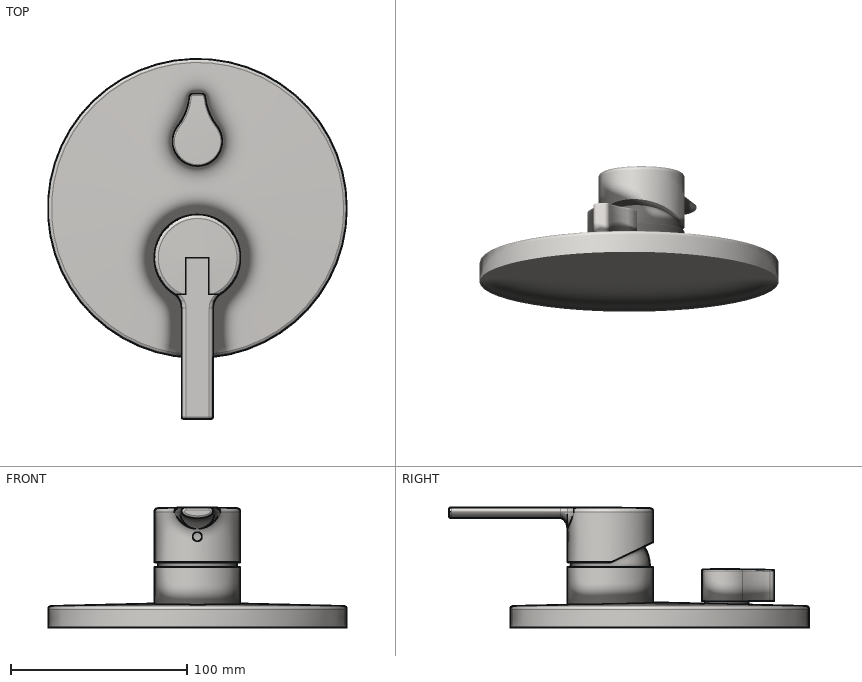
import cadquery as cq
import math

ARC_MID = math.sqrt(0.5)

PLATE_RADIUS = 85.0
PLATE_EDGE_HEIGHT = 12.4
PLATE_EDGE_FILLET = 2.0
PLATE_APEX_HEIGHT = 14.4

CROWN_RADIUS = 650.0

BODY_Y = -28.0
BODY_RADIUS = 24.5
BASE_TOP = 34.7
BODY_CHAMFER = 0.5
BALL_RADIUS = 22.7
BALL_CENTRE_Z = 34.2

CAP_BOTTOM = 36.9
CAP_BACK_BOTTOM = 48.6
TOP_Z = 68.36
CAP_TOP_FILLET = 2.2

MARK_Z = 51.7
MARK_DIAMETER = 5.2
MARK_DEPTH = 0.4

LEVER_TIP_Y = -119.775
LEVER_HALF_WIDTH = 9.0
LEVER_THICKNESS = 6.2
SHOULDER = 2.4
TIP_FILLET = 1.5

FLARE_RADIUS = 9.4
FLARE_END_FRACTION = 0.98
ROOT_RUN = 4.0
ROOT_ANGLES = (0, 25, 45, 65, 90)

KNOB_Y = 38.1
KNOB_RADIUS = 14.1
KNOB_BOTTOM = 15.1
KNOB_TOP = 33.4
KNOB_EDGE_FILLET = 0.9
STEM_RADIUS = 12.5
STEM_BOTTOM = PLATE_EDGE_HEIGHT
KNOB_WAIST = (6.2, 17.6)
KNOB_NOSE = (4.6, 24.5)
KNOB_NOSE_HALF_FLAT = 2.5
KNOB_LENGTH = 27.1
KNOB_FLANK_Y = 8.8


def crown_ball(top_z):
    """Large ball on the Z axis whose top gives a shallow dome reaching top_z."""
    return cq.Workplane("XY", origin=(0, 0, top_z - CROWN_RADIUS)).sphere(CROWN_RADIUS)


def make_plate():
    """Disc with a rounded rim and a shallow conical top."""
    corner = PLATE_EDGE_FILLET * (1 - ARC_MID)
    return (
        cq.Workplane("XZ")
        .lineTo(PLATE_RADIUS, 0)
        .lineTo(PLATE_RADIUS, PLATE_EDGE_HEIGHT - PLATE_EDGE_FILLET)
        .threePointArc(
            (PLATE_RADIUS - corner, PLATE_EDGE_HEIGHT - corner),
            (PLATE_RADIUS - PLATE_EDGE_FILLET, PLATE_EDGE_HEIGHT),
        )
        .lineTo(0, PLATE_APEX_HEIGHT)
        .close()
        .revolve(360, (0, 0, 0), (0, 1, 0))
    )


def make_base():
    """Base cylinder and the ball that rises from it into the cap."""
    start = PLATE_EDGE_HEIGHT
    base = (
        cq.Workplane("XY", origin=(0, 0, start))
        .circle(BODY_RADIUS)
        .extrude(BASE_TOP - start)
        .faces(">Z")
        .edges()
        .chamfer(BODY_CHAMFER)
    )
    ball = cq.Workplane("XY", origin=(0, 0, BALL_CENTRE_Z)).sphere(BALL_RADIUS)
    above_plate = cq.Workplane("XY", origin=(0, 0, start)).circle(BODY_RADIUS).extrude(TOP_Z - start)
    return base.union(ball.intersect(above_plate))


def make_cap():
    """Cap with a crowned top, a slanted rear underside and a small front mark."""
    cylinder = (
        cq.Workplane("XY", origin=(0, 0, CAP_BOTTOM))
        .circle(BODY_RADIUS)
        .extrude(TOP_Z - CAP_BOTTOM)
    )
    cap = cylinder.intersect(crown_ball(TOP_Z)).faces(">Z").edges().fillet(CAP_TOP_FILLET)
    slant = (
        cq.Workplane("YZ")
        .polyline([(0, CAP_BOTTOM), (BODY_RADIUS, CAP_BOTTOM), (BODY_RADIUS, CAP_BACK_BOTTOM)])
        .close()
        .extrude(BODY_RADIUS, both=True)
    )
    cap = cap.cut(slant).faces("<Z").edges("%CIRCLE").chamfer(BODY_CHAMFER)
    mark = (
        cq.Workplane("XZ", origin=(0, MARK_DEPTH - BODY_RADIUS, MARK_Z))
        .circle(MARK_DIAMETER / 2)
        .extrude(BODY_RADIUS)
    )
    return cap.cut(mark)


def lever_section(y, half_width, depth):
    """Lever cross-section wire at the given Y."""
    side_z = TOP_Z - SHOULDER
    flat = half_width - SHOULDER
    corner = SHOULDER * (1 - ARC_MID)
    mid_x = half_width - corner
    mid_z = TOP_Z - corner
    return (
        cq.Workplane("XZ", origin=(0, y, 0))
        .moveTo(-half_width, side_z)
        .ellipseArc(half_width, depth - SHOULDER, 180, 360, sense=1)
        .threePointArc((mid_x, mid_z), (flat, TOP_Z))
        .lineTo(-flat, TOP_Z)
        .threePointArc((-mid_x, mid_z), (-half_width, side_z))
        .wire()
    )


def concave_rise(run, length, height):
    """Height of a quarter-ellipse fillet after the given run along it."""
    return height * (1 - math.sqrt(1 - (run / length) ** 2))


def flare_half_width(run):
    return LEVER_HALF_WIDTH + concave_rise(run, FLARE_RADIUS, FLARE_RADIUS)


def round_depth(half_width):
    """Depth at which the underside of a lever section is a full half circle."""
    return SHOULDER + half_width


def flare_section(start_y, run):
    """Lever section grown by the side and underside blends after the given run."""
    half_width = flare_half_width(run)
    if run < ROOT_RUN:
        root_drop = round_depth(flare_half_width(ROOT_RUN)) - LEVER_THICKNESS
        depth = LEVER_THICKNESS + concave_rise(run, ROOT_RUN, root_drop)
    else:
        depth = round_depth(half_width)
    return lever_section(start_y + run, half_width, depth).val()


def make_flare(start_y, runs):
    """Loft through the blend sections at the given runs."""
    return cq.Workplane(cq.Solid.makeLoft([flare_section(start_y, run) for run in runs]))


def make_lever():
    """Straight lever with a rounded tip, flaring into the cap."""
    flare_centre_x = LEVER_HALF_WIDTH + FLARE_RADIUS
    flare_reach = BODY_RADIUS + FLARE_RADIUS
    flare_start = -math.sqrt(flare_reach ** 2 - flare_centre_x ** 2)
    tangent_run = FLARE_RADIUS * -flare_start / flare_reach
    side_run = FLARE_END_FRACTION * tangent_run
    tip_y = LEVER_TIP_Y - BODY_Y

    bar = lever_section(flare_start, LEVER_HALF_WIDTH, LEVER_THICKNESS).extrude(flare_start - tip_y)
    bar = bar.faces("<Y").edges().fillet(TIP_FILLET)

    root_runs = [ROOT_RUN * math.sin(math.radians(angle)) for angle in ROOT_ANGLES]
    side_runs = [ROOT_RUN, (ROOT_RUN + side_run) / 2, side_run]
    root = make_flare(flare_start, root_runs)
    shoulders = make_flare(flare_start, side_runs)
    strip = (
        cq.Workplane("XY", origin=(0, flare_start / 2, TOP_Z - SHOULDER))
        .rect(2 * (LEVER_HALF_WIDTH - SHOULDER), -flare_start)
        .extrude(SHOULDER)
    )
    return bar.union(root).union(shoulders).union(strip)


def make_mixer():
    mixer = make_base().union(make_cap()).union(make_lever())
    return mixer.translate((0, BODY_Y, 0))


def knob_outline():
    flank_x = math.sqrt(KNOB_RADIUS ** 2 - KNOB_FLANK_Y ** 2)
    waist_x, waist_y = KNOB_WAIST
    nose_x, nose_y = KNOB_NOSE
    nose_mid_x = nose_x - (nose_x - KNOB_NOSE_HALF_FLAT) * (1 - ARC_MID)
    nose_mid_y = nose_y + (KNOB_LENGTH - nose_y) * ARC_MID
    return (
        cq.Workplane("XY", origin=(0, 0, KNOB_BOTTOM))
        .moveTo(-flank_x, KNOB_FLANK_Y)
        .threePointArc((0, -KNOB_RADIUS), (flank_x, KNOB_FLANK_Y))
        .threePointArc((waist_x, waist_y), (nose_x, nose_y))
        .threePointArc((nose_mid_x, nose_mid_y), (KNOB_NOSE_HALF_FLAT, KNOB_LENGTH))
        .lineTo(-KNOB_NOSE_HALF_FLAT, KNOB_LENGTH)
        .threePointArc((-nose_mid_x, nose_mid_y), (-nose_x, nose_y))
        .threePointArc((-waist_x, waist_y), (-flank_x, KNOB_FLANK_Y))
        .close()
    )


def make_knob():
    """Pear-shaped knob with a crowned top and a short stem reaching the plate."""
    grip = knob_outline().extrude(KNOB_TOP - KNOB_BOTTOM)
    grip = grip.intersect(crown_ball(KNOB_TOP)).faces(">Z").edges().fillet(KNOB_EDGE_FILLET)
    stem = (
        cq.Workplane("XY", origin=(0, 0, STEM_BOTTOM))
        .circle(STEM_RADIUS)
        .extrude(KNOB_BOTTOM - STEM_BOTTOM)
    )
    return grip.union(stem).translate((0, KNOB_Y, 0))


result = make_plate().union(make_mixer()).union(make_knob())